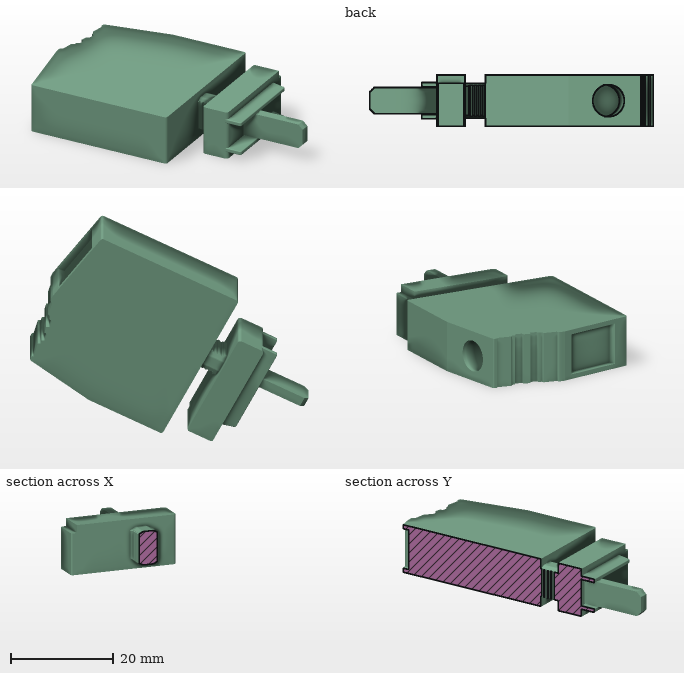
import cadquery as cq
import math


length = 55.45
depth = 32.6
thickness = 10.1
joint_overlap = 0.3
face_angle = 10.0
slope = math.tan(math.radians(face_angle))

housing_end = 32.85
lower_face_top_y = 15.55
lower_corner_x = lower_face_top_y * slope
top_break_x = 16.65
upper_corner_x = 2.45
upper_corner_y = depth - (top_break_x - upper_corner_x) * slope
housing_fillet = 0.5

grip_lip = (2.45, 29.1)
grip_rib = (2.15, 26.2)
grip_steps = [
    grip_lip, (2.7, 29.05), grip_rib, (2.65, 25.9), (2.55, 25.3),
    (3.05, 24.95), (2.85, 23.55), (2.2, 23.45), (1.95, 22.2), (2.55, 21.85),
    (2.35, 20.6), (1.7, 20.4), (1.6, 19.8), (1.05, 19.65), (0.6, 16.95),
]
nose_x = 0.05
nose_y = 16.85
nose_flat_top_y = 16.25
grip_fillet = 0.3

recess_width = 8.2
recess_depth = 1.3
recess_low_y = 3.05
recess_high_y = 13.9
recess_draft = 16.0

hole_diameter = 6.25
hole_y = 31.2
hole_depth = 5.55

plate_start = 36.75
plate_end = 42.3
plate_low_y = 7.55
plate_high_y = 29.7
plate_low_fillet = 0.6
plate_high_chamfer = 0.3
ledge_y = 28.55
ledge_drop = 1.6

axis_y = 15.05
neck_half_height = 3.45
neck_flat_half_width = 1.0
neck_edge_width = 0.15
shaft_half_width = 1.95
rib_half_width = 2.15
collar_half_width = 2.35
facet_slope = 0.5
collar_lead_start = 35.8
collar_start = 36.05
rib_start = 33.4
rib_pitch = 0.8
rib_width = 0.4
rib_count = 3
root_rib_end = 33.0

fin_start = 41.05
fin_end = 45.3
fin_low_z = 2.7
fin_thickness = 0.85
fin_high_y = 26.3
fin_end_high_y = 25.5
fin_fillet = 0.15
fin_corner_fillet = 0.4

blade_thickness = 1.95
blade_height = 5.15
blade_chamfer = 0.95


def slab(points, low_z, height):
    """Extrude an XY outline upwards from low_z."""
    return cq.Workplane("XY").workplane(offset=low_z).polyline(points).close().extrude(height)


def box_between(x_range, y_range, z_range):
    """Box that spans the given (low, high) range along each axis."""
    low_x, high_x = x_range
    low_y, high_y = y_range
    corners = [(low_x, low_y), (high_x, low_y), (high_x, high_y), (low_x, high_y)]
    return slab(corners, z_range[0], z_range[1] - z_range[0])


def round_corners(body, corners, radius):
    """Fillet the vertical edges that stand at the given XY corners."""
    for x, y in corners:
        body = body.edges(cq.selectors.NearestToPointSelector((x, y, 0))).fillet(radius)
    return body


def make_housing():
    """Flat block with a slanted lower face, a stepped grip and a slanted upper face."""
    outline = [
        (lower_corner_x, 0), (housing_end, 0), (housing_end, depth), (top_break_x, depth),
        (upper_corner_x, upper_corner_y), *grip_steps, (nose_x, nose_y),
        (0, nose_flat_top_y), (0, lower_face_top_y),
    ]
    body = slab(outline, -thickness / 2, thickness)
    large_corners = [(lower_corner_x, 0), (housing_end, 0), (housing_end, depth)]
    body = round_corners(body, large_corners, housing_fillet)
    small_corners = [(upper_corner_x, upper_corner_y), grip_lip, grip_rib, (nose_x, nose_y)]
    return round_corners(body, small_corners, grip_fillet)


def make_recess():
    """Pocket with a floor parallel to the lower face and drafted end walls."""
    angle = math.radians(face_angle)
    draft_run = recess_depth * math.tan(math.radians(recess_draft))

    def face_point(y, inward, along):
        x = (lower_face_top_y - y) * slope
        return (
            x + inward * math.cos(angle) - along * math.sin(angle),
            y + inward * math.sin(angle) + along * math.cos(angle),
        )

    outline = [
        face_point(recess_low_y, 0, 0),
        face_point(recess_low_y, recess_depth, draft_run),
        face_point(recess_high_y, recess_depth, -draft_run),
        face_point(recess_high_y, 0, 0),
    ]
    return slab(outline, -recess_width / 2, recess_width)


def make_hole():
    """Blind hole square to the upper slanted face."""
    angle = math.radians(face_angle)
    hole_x = top_break_x - (depth - hole_y) / slope
    inward = cq.Vector(math.sin(angle), -math.cos(angle), 0)
    mouth = cq.Vector(hole_x, hole_y, 0)
    return cq.Workplane(cq.Solid.makeCylinder(hole_diameter / 2, hole_depth, mouth, inward))


def make_neck_section(half_width, start, end):
    """Flat-topped bar along X with facets sloping down to its sides."""
    facet_y = neck_flat_half_width + neck_edge_width
    facet_z = neck_half_height - neck_edge_width * facet_slope / 2
    side_z = facet_z - (half_width - facet_y) * facet_slope
    quarter = [(neck_flat_half_width, neck_half_height), (facet_y, facet_z), (half_width, side_z)]
    right = quarter + [(y, -z) for y, z in reversed(quarter)]
    left = [(-y, -z) for y, z in right]
    section = [(axis_y + y, z) for y, z in right + left]
    return cq.Workplane("YZ").workplane(offset=start).polyline(section).close().extrude(end - start)


def make_neck():
    """Shaft with side ribs and a wider stepped collar against the plate."""
    root = housing_end - joint_overlap
    neck = make_neck_section(shaft_half_width, root, plate_start + joint_overlap)
    neck = neck.union(make_neck_section(rib_half_width, root, root_rib_end))
    for i in range(rib_count):
        start = rib_start + i * rib_pitch
        neck = neck.union(make_neck_section(rib_half_width, start, start + rib_width))
    neck = neck.union(make_neck_section(rib_half_width, collar_lead_start, collar_start))
    return neck.union(make_neck_section(collar_half_width, collar_start, plate_start + joint_overlap))


def make_plate():
    """Upright plate with a lowered ledge at its +Y end."""
    half = thickness / 2
    plate = box_between((plate_start, plate_end), (plate_low_y, plate_high_y), (-half, half))
    plate = plate.edges("|Z and <Y").fillet(plate_low_fillet)
    plate = plate.edges("|Z and >Y").chamfer(plate_high_chamfer)
    ledge = box_between((plate_start, plate_end), (ledge_y, plate_high_y), (half - ledge_drop, half))
    return plate.cut(ledge)


def make_fin():
    """Upper guide fin, rooted inside the plate."""
    outline = [
        (fin_start, plate_low_y), (fin_end, plate_low_y),
        (fin_end, fin_end_high_y), (plate_end, fin_high_y), (fin_start, fin_high_y),
    ]
    fin = slab(outline, fin_low_z, fin_thickness)
    fin = fin.edges("|Z and >X").fillet(fin_corner_fillet)
    return fin.faces("<Z or >Z").edges("not <X").fillet(fin_fillet)


def make_blade():
    """Flat blade with a chamfered tip."""
    blade = box_between(
        (plate_end - joint_overlap, length),
        (axis_y - blade_thickness / 2, axis_y + blade_thickness / 2),
        (-blade_height / 2, blade_height / 2),
    )
    return blade.edges("|Y and >X").chamfer(blade_chamfer)


fin = make_fin()
result = (
    make_housing()
    .cut(make_recess())
    .cut(make_hole())
    .union(make_neck())
    .union(make_plate())
    .union(fin)
    .union(fin.mirror("XY"))
    .union(make_blade())
)